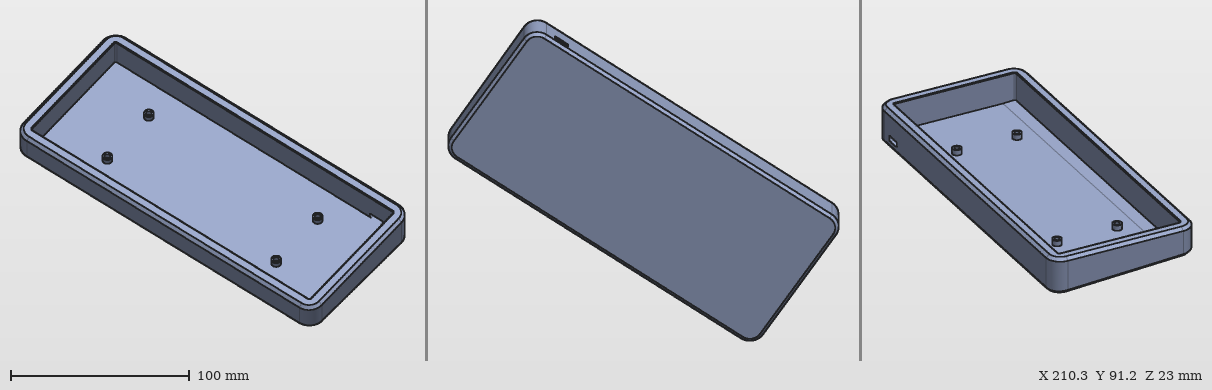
import cadquery as cq
import math

length = 210.26
width = 91.2
total_height = 22.95
corner_radius = 9.0
bottom_tilt = 3.0
outer_chamfer = 2.0

wall = 7.0
cavity_depth = 18.0
cavity_corner_radius = 1.0
rim_chamfer = 0.5
crease_y = -30.75

boss_diameter = 5.5
boss_hole_diameter = 3.2
boss_height = 3.4
key_pitch = 19.05
boss_x = 3.125 * key_pitch
boss_y = key_pitch

port_x = 85.8
port_width = 9.0
port_height = 3.2
port_corner_radius = 0.8

tilt_angle = math.radians(bottom_tilt)
tilt_slope = math.tan(tilt_angle)
back_height = total_height + outer_chamfer * math.sin(tilt_angle)
front_height = back_height - width * tilt_slope
cavity_length = length - 2 * wall
cavity_width = width - 2 * wall


def side_prism(points, prism_length):
    """Extrude a (Y, Z) outline along X, centred on X = 0."""
    return cq.Workplane("YZ").polyline(points).close().extrude(prism_length / 2, both=True)


def make_body():
    """Rounded wedge, chamfered around its top and its tilted underside."""
    half_width = width / 2
    wedge = side_prism(
        [
            (-half_width, 0),
            (half_width, 0),
            (half_width, -back_height),
            (-half_width, -front_height),
        ],
        length,
    )
    rounded = wedge.edges("|Z").fillet(corner_radius)
    return rounded.faces(">Z or <Z").chamfer(outer_chamfer)


def make_cavity():
    """Pocket with a level floor that rises near the front, chamfered at the rim."""
    half_width = cavity_width / 2
    front_depth = cavity_depth - (half_width + crease_y) * tilt_slope
    pocket = side_prism(
        [
            (-half_width, 0),
            (half_width, 0),
            (half_width, -cavity_depth),
            (crease_y, -cavity_depth),
            (-half_width, -front_depth),
        ],
        cavity_length,
    )
    pocket = pocket.edges("|Z").fillet(cavity_corner_radius)
    rim_flare = (
        cq.Workplane("XY")
        .rect(cavity_length + 2 * rim_chamfer, cavity_width + 2 * rim_chamfer)
        .extrude(-2 * rim_chamfer)
        .edges("|Z")
        .fillet(cavity_corner_radius + rim_chamfer)
        .translate((0, 0, rim_chamfer))
        .faces("<Z")
        .chamfer(rim_chamfer)
    )
    return pocket.union(rim_flare)


def make_bosses():
    """Four hollow bosses standing on the level floor."""
    return (
        cq.Workplane("XY", origin=(0, 0, -cavity_depth))
        .rect(2 * boss_x, 2 * boss_y, forConstruction=True)
        .vertices()
        .circle(boss_diameter / 2)
        .circle(boss_hole_diameter / 2)
        .extrude(boss_height)
    )


def make_port():
    """Rounded slot at floor level through the back wall."""
    slot = cq.Workplane("XY").box(port_width, 2 * wall, port_height).edges("|Y").fillet(port_corner_radius)
    return slot.translate((port_x, width / 2, port_height / 2 - cavity_depth))


tray = make_body().cut(make_cavity()).cut(make_port())
result = tray.union(make_bosses())